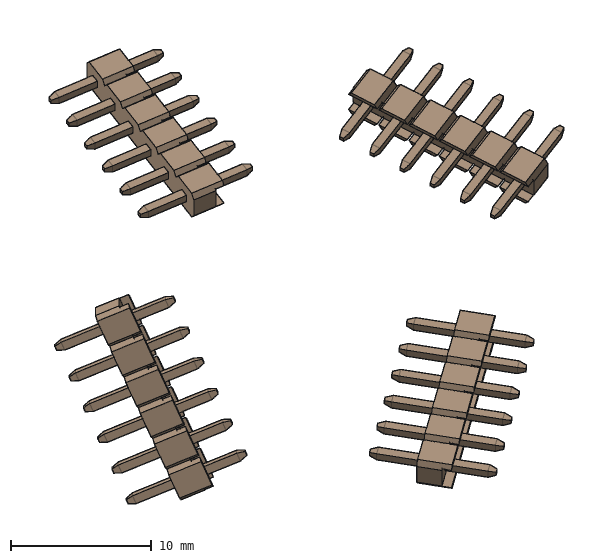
import cadquery as cq

pin_count = 6
housing_length = 15.24
housing_depth = 2.51
housing_height = 2.5
pitch = housing_length / pin_count

bevel_width = 0.3
bevel_height = 0.43

recess_depth = 0.69
lip_thickness = 0.34

pin_width = 0.65
pin_tip_width = 0.34
pin_taper_length = 0.56
pin_front_reach = 3.69
pin_length = 9.2
pin_offset = -0.1


def cell_center(index):
    """X position of the middle of a housing cell."""
    return (index + 0.5) * pitch - housing_length / 2


def make_cell():
    """One bevelled cell of the housing, centred on X = 0."""
    half_width = pitch / 2
    half_height = housing_height / 2
    flat_half_width = half_width - bevel_width
    side_half_height = half_height - bevel_height
    outline = [
        (-flat_half_width, half_height),
        (flat_half_width, half_height),
        (half_width, side_half_height),
        (half_width, -side_half_height),
        (flat_half_width, -half_height),
        (-flat_half_width, -half_height),
        (-half_width, -side_half_height),
        (-half_width, side_half_height),
    ]
    return cq.Workplane("XZ").polyline(outline).close().extrude(-housing_depth)


def make_recess():
    """Volume removed from the back of the housing over its full length."""
    return (
        cq.Workplane("XY")
        .box(housing_length, recess_depth, housing_height - 2 * lip_thickness)
        .translate((0, housing_depth - recess_depth / 2, 0))
    )


def make_pin():
    """One pin along Y, centred on X = 0 and Z = 0."""
    half_width = pin_width / 2
    half_tip = pin_tip_width / 2
    front_end = -pin_front_reach
    back_end = front_end + pin_length
    front_shoulder = front_end + pin_taper_length
    back_shoulder = back_end - pin_taper_length
    profile = [
        (front_end, half_tip),
        (front_shoulder, half_width),
        (back_shoulder, half_width),
        (back_end, half_tip),
        (back_end, -half_tip),
        (back_shoulder, -half_width),
        (front_shoulder, -half_width),
        (front_end, -half_tip),
    ]
    side_shape = cq.Workplane("YZ").polyline(profile).close().extrude(half_width, both=True)
    top_shape = side_shape.rotate((0, 0, 0), (0, 1, 0), 90)
    return side_shape.intersect(top_shape)


cell = make_cell()
housing = cell.translate((cell_center(0), 0, 0))
for index in range(1, pin_count):
    housing = housing.union(cell.translate((cell_center(index), 0, 0)))
housing = housing.cut(make_recess())

pin = make_pin()
result = housing
for index in range(pin_count):
    result = result.union(pin.translate((cell_center(index) + pin_offset, 0, 0)))
result = result.clean()